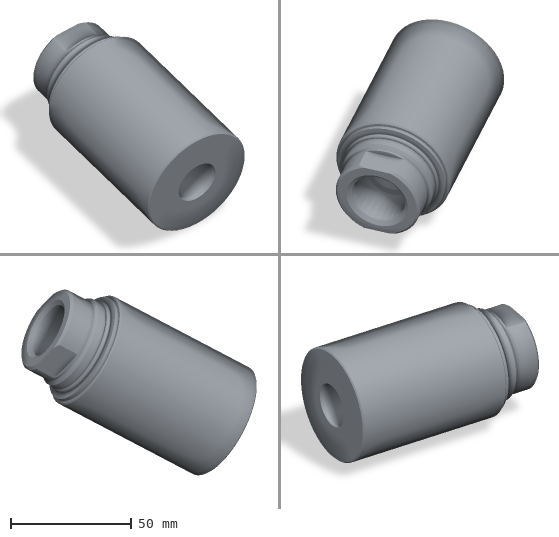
import cadquery as cq
import math

length = 90.2
body_diameter = 50.1
body_chamfer = 0.5

hub_start = 11.2
groove_start = 16.3
ring_start = 18.6
body_start = 20.3

neck_diameter = 37
hub_diameter = 40.0
bead_diameter = 41.95
ring_diameter = 47.0

neck_chamfer = 1.1
hub_chamfer = (hub_diameter - neck_diameter) / 2

bead_radius = 1.1
bead_gap = 0.3
bead_center_x = groove_start + bead_gap + bead_radius
bead_center_radius = bead_diameter / 2 - bead_radius
groove_diameter = 2 * bead_center_radius - bead_radius

flat_width = 33.0
flat_length = 10.2

mouth_diameter = 26.9
mouth_depth = 1.5
socket_front_diameter = 23.3
socket_end_diameter = 22.65
taper_end = 13.7
socket_depth = 18
hole_diameter = 19.0
cone_half_angle = 60
cone_length = (socket_end_diameter - hole_diameter) / 2 / math.tan(math.radians(cone_half_angle))


def cylinder(start, end, diameter):
    return cq.Workplane("YZ", origin=(start, 0, 0)).circle(diameter / 2).extrude(end - start)


def make_outside():
    neck = cylinder(0, hub_start, neck_diameter).faces("<X").chamfer(neck_chamfer)
    hub = cylinder(hub_start, groove_start, hub_diameter).faces("<X").chamfer(hub_chamfer)
    groove_floor = cylinder(groove_start, ring_start, groove_diameter)
    bead = (
        cq.Workplane("XY")
        .center(bead_center_x, bead_center_radius)
        .circle(bead_radius)
        .revolve(360, (0, -bead_center_radius, 0), (1, -bead_center_radius, 0))
    )
    ring = cylinder(ring_start, body_start, ring_diameter)
    body = cylinder(body_start, length, body_diameter).faces("<X or >X").chamfer(body_chamfer)
    return neck.union(hub).union(groove_floor).union(bead).union(ring).union(body)


def cut_flats(part):
    for side in (1, -1):
        waste_height = body_diameter / 2
        waste = cq.Workplane("XY").box(flat_length, body_diameter, waste_height).translate(
            (flat_length / 2, 0, side * (flat_width + waste_height) / 2)
        )
        part = part.cut(waste)
    return part


def make_bore():
    half_profile = [
        (0, 0),
        (0, mouth_diameter / 2),
        (mouth_depth, socket_front_diameter / 2),
        (taper_end, socket_end_diameter / 2),
        (socket_depth, socket_end_diameter / 2),
        (socket_depth + cone_length, hole_diameter / 2),
        (length, hole_diameter / 2),
        (length, 0),
    ]
    return cq.Workplane("XY").polyline(half_profile).close().revolve(360, (0, 0, 0), (1, 0, 0))


result = cut_flats(make_outside()).cut(make_bore())